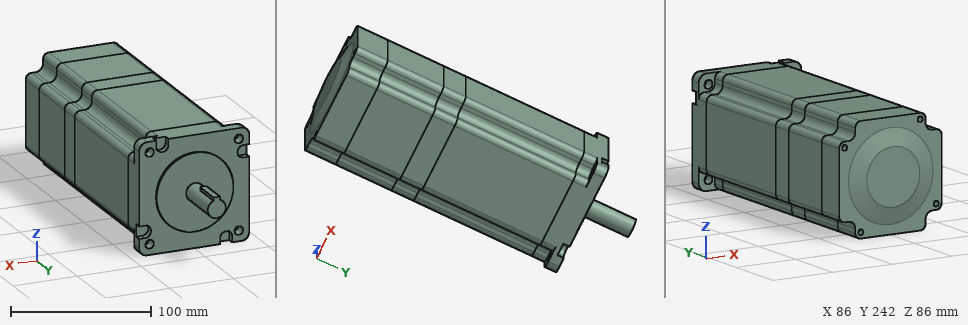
import cadquery as cq
import math


WIDTH = 86.0
HALF = WIDTH / 2
EAR_CORNER_RADIUS = 6.3
RELIEF = 13.5
RELIEF_INNER_RADIUS = 5.8
RELIEF_EDGE_RADIUS = 4.5

TOTAL_LENGTH = 242
SHAFT_LENGTH = 38.0
PILOT_HEIGHT = 1.5
FLANGE_LENGTH = 19.4
EAR_THICKNESS = 9.0
MOTOR_LENGTH = 93.9
BRAKE_LENGTH = 17.7
ENCODER_LENGTH = 44.3
DOME_HEIGHT = 3.5

PILOT_DIAMETER = 60.0
MOUNT_HOLE_DIAMETER = 6.5
MOUNT_HOLE_OFFSET = 34.8

SCREW_ALONG = 25.0
SCREW_OUT = 38.5
NOTCH_WIDTH = 9.5
NOTCH_DEPTH = 5.0
SCREW_HOLE_DIAMETER = 2.7
SCREW_HOLE_DEPTH = 12.0
COUNTERBORE_DIAMETER = 4.0
COUNTERBORE_DEPTH = 6.0

SHAFT_DIAMETER = 14.0
KEY_WIDTH = 5.0
KEY_LENGTH = 25.0
KEY_TOP = 9.0

DOME_BASE_DIAMETER = 70.9
DOME_TOP_DIAMETER = 44.5

motor_start = -FLANGE_LENGTH
brake_start = motor_start - MOTOR_LENGTH
encoder_start = brake_start - BRAKE_LENGTH
cover_start = encoder_start - ENCODER_LENGTH
cover_end = SHAFT_LENGTH + PILOT_HEIGHT - TOTAL_LENGTH + DOME_HEIGHT


def cross_section(y):
    """Sketch plane across the axis at y; a positive extrusion runs towards -Y."""
    return cq.Workplane("XZ", origin=(0, y, 0))


def quarter_turns(point):
    """The given (x, z) point and its copies after each quarter turn about the axis."""
    x, z = point
    return [(x, z), (-z, x), (-x, -z), (z, -x)]


def housing_section(start, end):
    """Square prism with a rounded relief along each of its four long corners."""
    wall = HALF - RELIEF
    edge = RELIEF_EDGE_RADIUS
    inner = RELIEF_INNER_RADIUS
    edge_bow = edge * (1 - math.sqrt(0.5))
    inner_bow = inner * (1 - math.sqrt(0.5))

    side_tangent = quarter_turns((HALF, wall - edge))
    first_edge_middle = quarter_turns((HALF - edge_bow, wall - edge_bow))
    first_edge_end = quarter_turns((HALF - edge, wall))
    inner_start = quarter_turns((wall + inner, wall))
    inner_middle = quarter_turns((wall + inner_bow, wall + inner_bow))
    inner_end = quarter_turns((wall, wall + inner))
    last_edge_start = quarter_turns((wall, HALF - edge))
    last_edge_middle = quarter_turns((wall - edge_bow, HALF - edge_bow))
    last_edge_end = quarter_turns((wall - edge, HALF))

    outline = cross_section(start).moveTo(*last_edge_end[-1])
    for turn in range(4):
        outline = (
            outline.lineTo(*side_tangent[turn])
            .threePointArc(first_edge_middle[turn], first_edge_end[turn])
            .lineTo(*inner_start[turn])
            .threePointArc(inner_middle[turn], inner_end[turn])
            .lineTo(*last_edge_start[turn])
            .threePointArc(last_edge_middle[turn], last_edge_end[turn])
        )
    return outline.close().extrude(start - end)


def screw_notches():
    """Round-bottomed notches that open the mounting face and the sides for the screws."""
    notch = (
        cross_section(0)
        .center(SCREW_ALONG, SCREW_OUT)
        .circle(NOTCH_WIDTH / 2)
        .extrude(NOTCH_DEPTH)
    )
    opening = (
        cross_section(0)
        .center(SCREW_ALONG, SCREW_OUT + NOTCH_WIDTH / 2)
        .rect(NOTCH_WIDTH, NOTCH_WIDTH)
        .extrude(NOTCH_DEPTH)
    )
    notch = notch.union(opening)
    notches = cq.Workplane()
    for turn in range(4):
        notches = notches.add(notch.rotate((0, 0, 0), (0, 1, 0), 90 * turn))
    return notches


def make_flange():
    """Mounting flange: square ear plate, relieved rear part and centring pilot."""
    flange = cross_section(0).rect(WIDTH, WIDTH).extrude(EAR_THICKNESS)
    flange = flange.edges("|Y").fillet(EAR_CORNER_RADIUS)
    flange = flange.union(housing_section(-EAR_THICKNESS, motor_start))
    pilot = cross_section(PILOT_HEIGHT).circle(PILOT_DIAMETER / 2).extrude(PILOT_HEIGHT)
    flange = flange.union(pilot)
    mount_holes = (
        cross_section(0)
        .pushPoints(quarter_turns((MOUNT_HOLE_OFFSET, MOUNT_HOLE_OFFSET)))
        .circle(MOUNT_HOLE_DIAMETER / 2)
        .extrude(EAR_THICKNESS)
    )
    flange = flange.cut(mount_holes)
    for notch in screw_notches().vals():
        flange = flange.cut(cq.Workplane(notch))
    return flange


def make_cover():
    """Rear cover with a shallow conical boss and four blind counterbored screw holes."""
    cover = housing_section(cover_start, cover_end)
    dome = (
        cross_section(cover_end)
        .circle(DOME_BASE_DIAMETER / 2)
        .workplane(offset=DOME_HEIGHT)
        .circle(DOME_TOP_DIAMETER / 2)
        .loft(ruled=True)
    )
    cover = cover.union(dome)
    screw_holes = cross_section(cover_end).pushPoints(quarter_turns((SCREW_ALONG, SCREW_OUT)))
    cover = cover.cut(screw_holes.circle(COUNTERBORE_DIAMETER / 2).extrude(-COUNTERBORE_DEPTH))
    return cover.cut(screw_holes.circle(SCREW_HOLE_DIAMETER / 2).extrude(-SCREW_HOLE_DEPTH))


def make_shaft():
    """Output shaft on the pilot face, in one piece with its round-ended key."""
    tip = PILOT_HEIGHT + SHAFT_LENGTH
    shaft = cross_section(tip).circle(SHAFT_DIAMETER / 2).extrude(SHAFT_LENGTH)
    round_centre = tip - KEY_LENGTH + KEY_WIDTH / 2
    key = (
        cq.Workplane("XY")
        .moveTo(-KEY_WIDTH / 2, tip)
        .lineTo(-KEY_WIDTH / 2, round_centre)
        .threePointArc((0, tip - KEY_LENGTH), (KEY_WIDTH / 2, round_centre))
        .lineTo(KEY_WIDTH / 2, tip)
        .close()
        .extrude(KEY_TOP)
    )
    return shaft.union(key)


flange = make_flange()
motor = housing_section(motor_start, brake_start)
brake = housing_section(brake_start, encoder_start)
encoder = housing_section(encoder_start, cover_start)
cover = make_cover()
shaft = make_shaft()

result = cq.Compound.makeCompound(
    [flange.val(), motor.val(), brake.val(), encoder.val(), cover.val(), shaft.val()]
)